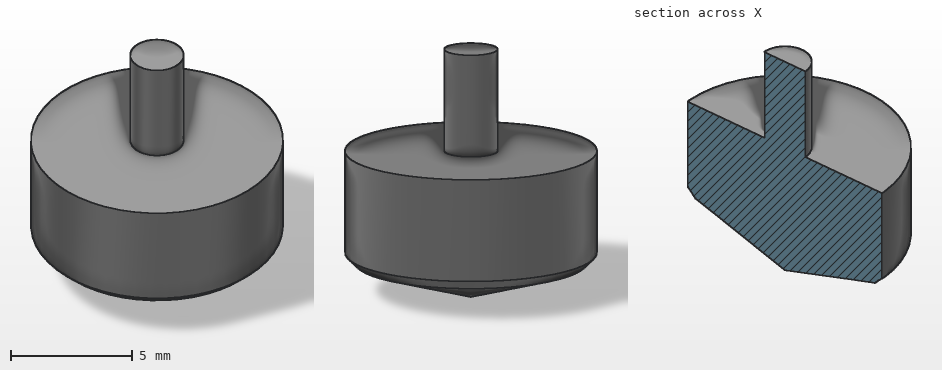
import cadquery as cq

total_height = 10.5
body_diameter = 10.4
pin_diameter = 2.2
pin_length = 4.3
body_length = 4.3
bevel = 0.4

body_radius = body_diameter / 2
pin_radius = pin_diameter / 2
cone_radius = body_radius - bevel
cone_height = total_height - pin_length - body_length - bevel

wall_bottom = cone_height + bevel
wall_top = wall_bottom + body_length

profile = (
    cq.Workplane("XZ")
    .moveTo(0, 0)
    .lineTo(cone_radius, cone_height)
    .lineTo(body_radius, wall_bottom)
    .lineTo(body_radius, wall_top)
    .lineTo(pin_radius, wall_top)
    .lineTo(pin_radius, total_height)
    .lineTo(0, total_height)
    .close()
)

result = profile.revolve(360, (0, 0, 0), (0, 1, 0))